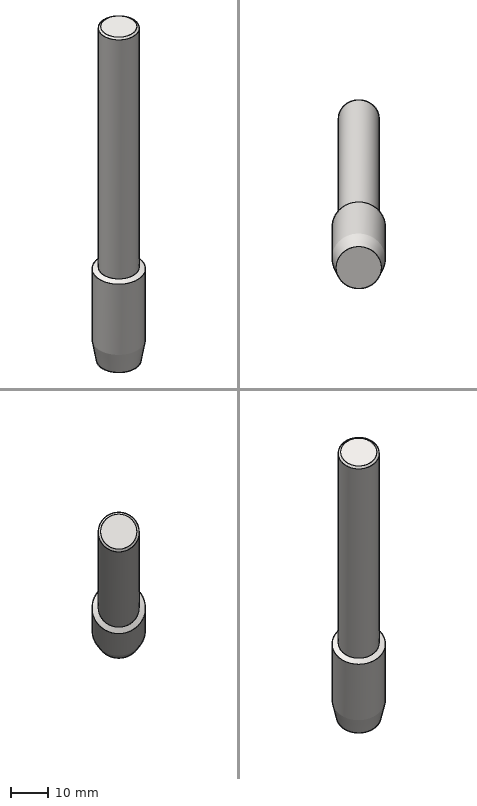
import cadquery as cq

total_length = 110.0

head_diameter = 14.3
tip_diameter = 12.1
tip_height = 6.6
shoulder_base_z = 30.0
shoulder_height = 0.5
head_length = shoulder_base_z + shoulder_height

shank_diameter = 11.0
shank_length = total_length - head_length
chamfer_width = 0.7
chamfer_height = 0.4


def make_head():
    """Revolved head whose shoulder narrows to the shank diameter."""
    profile = (
        cq.Workplane("XZ")
        .lineTo(tip_diameter / 2, 0)
        .lineTo(head_diameter / 2, tip_height)
        .lineTo(head_diameter / 2, shoulder_base_z)
        .lineTo(shank_diameter / 2, head_length)
        .lineTo(0, head_length)
        .close()
    )
    return profile.revolve(360, (0, 0, 0), (0, 1, 0))


def make_shank():
    """Cylindrical shank resting on the flat top of the head."""
    shank = (
        cq.Workplane("XY")
        .workplane(offset=head_length)
        .circle(shank_diameter / 2)
        .extrude(shank_length)
    )
    return shank.faces(">Z").chamfer(chamfer_height, chamfer_width)


head = make_head()
shank = make_shank()

result = cq.Compound.makeCompound([head.val(), shank.val()])